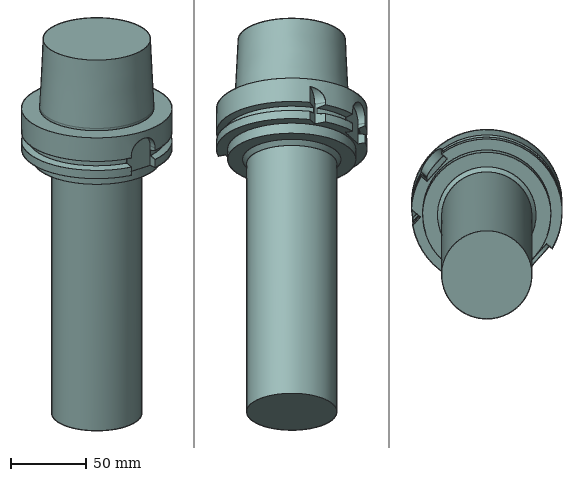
import cadquery as cq

total_height = 270.0
taper_height = 50.0
flange_top = total_height - taper_height
neck_height = 1.5
flange_bottom = flange_top - 29.5
collar_bottom = flange_bottom - 7.3
cone_height = 3.2

shank_radius = 60.0 / 2
cone_radius = 32.7
collar_radius = 85.0 / 2
flange_radius = 100.0 / 2
taper_base_radius = 76.0 / 2
taper_top_radius = 35.6

groove_top = flange_top - 17.0
groove_bottom = flange_top - 23.5
groove_lip_height = 1.4
groove_floor_radius = 45.4

slot_width = 20.2
slot_radius = slot_width / 2
slot_arc_center = flange_top - 5.0 - slot_radius
drive_slot_floor = 43.7
notch_floor = 31.0
notch_near_side = 31.3


def turned_body():
    """Shank, collar, grooved flange and taper revolved about Z."""
    profile = [
        (0, 0),
        (shank_radius, 0),
        (shank_radius, collar_bottom - cone_height),
        (cone_radius, collar_bottom),
        (collar_radius, collar_bottom),
        (collar_radius, flange_bottom),
        (flange_radius, flange_bottom),
        (flange_radius, groove_bottom),
        (groove_floor_radius, groove_bottom + groove_lip_height),
        (groove_floor_radius, groove_top - groove_lip_height),
        (flange_radius, groove_top),
        (flange_radius, flange_top),
        (taper_base_radius, flange_top),
        (taper_base_radius, flange_top + neck_height),
        (taper_top_radius, total_height),
        (0, total_height),
    ]
    return cq.Workplane("XZ").polyline(profile).close().revolve(360, (0, 0), (0, 1))


def slot_cutter(floor_distance, center_y):
    """Round-topped slot running along X, from its floor outward past the +X rim."""
    return (
        cq.Workplane("YZ", origin=(floor_distance, center_y, 0))
        .moveTo(-slot_radius, flange_bottom)
        .lineTo(-slot_radius, slot_arc_center)
        .threePointArc((0, slot_arc_center + slot_radius), (slot_radius, slot_arc_center))
        .lineTo(slot_radius, flange_bottom)
        .close()
        .extrude(flange_radius)
    )


result = turned_body()

drive_slot = slot_cutter(drive_slot_floor, 0)
for side_angle in (0, 180):
    result = result.cut(drive_slot.rotate((0, 0, 0), (0, 0, 1), side_angle))

notch_center_y = notch_near_side + slot_radius
result = result.cut(slot_cutter(notch_floor, notch_center_y).mirror("YZ"))